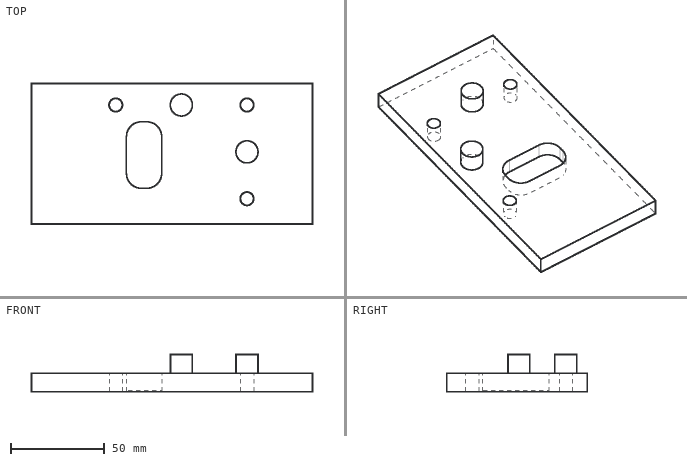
import cadquery as cq

plate_length = 150.0
plate_width = 75.0
plate_thickness = 10.0

hole_diameter = 7.0
hole_spacing_x = 70.0
hole_spacing_y = 50.0
corner_x = 40.0
corner_y = 26.0
far_x = corner_x - hole_spacing_x
far_y = corner_y - hole_spacing_y
hole_centers = [(corner_x, corner_y), (far_x, corner_y), (corner_x, far_y)]

pin_diameter = 11.8
pin_height = 10.0
pin_centers = [
    (corner_x - hole_spacing_x / 2, corner_y),
    (corner_x, corner_y - hole_spacing_y / 2),
]

pocket_length_x = 18.8
pocket_length_y = 35.5
pocket_corner_radius = 8.0
pocket_floor = 1.0
pocket_depth = plate_thickness - pocket_floor
pocket_center = (-14.9, -0.7)


def make_plate():
    """Rectangular plate centred in X and Y, resting on Z = 0."""
    return cq.Workplane("XY").box(
        plate_length, plate_width, plate_thickness, centered=(True, True, False)
    )


def make_holes():
    """Cutters for the plain through holes."""
    return cq.Workplane("XY").pushPoints(hole_centers).circle(hole_diameter / 2).extrude(plate_thickness)


def make_pocket():
    """Cutter for the blind pocket, sunk from the top face."""
    return (
        cq.Workplane("XY", origin=(*pocket_center, pocket_floor))
        .rect(pocket_length_x, pocket_length_y)
        .extrude(pocket_depth)
        .edges("|Z")
        .fillet(pocket_corner_radius)
    )


def make_pins():
    """Round pins standing on the top face."""
    return (
        cq.Workplane("XY", origin=(0, 0, plate_thickness))
        .pushPoints(pin_centers)
        .circle(pin_diameter / 2)
        .extrude(pin_height)
    )


result = make_plate().cut(make_holes()).cut(make_pocket()).union(make_pins())